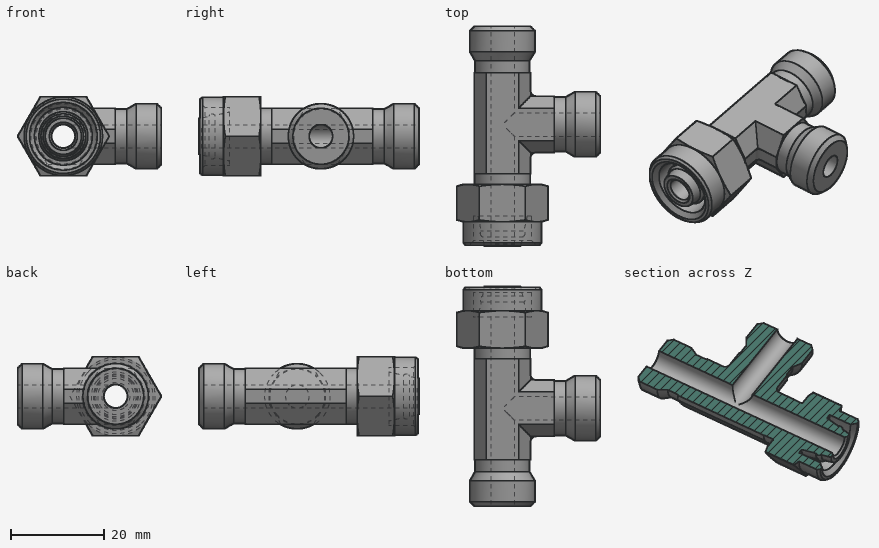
import cadquery as cq
import math


body_flats = 12.0
body_half_width = 6.06
body_far_end = 11.05
body_nut_end = 10.55
corner_fillet = 1.1

port_reach = 21.0
thread_radius = 7.0
thread_chamfer = 1.0
thread_start = 15.55
neck_radius = 5.87
runout_angle = 30.0

bore_radius = 2.5
bore_mouth_radius = 3.0

nut_flats = 17.0
nut_back = 12.85
nut_hex_end = 20.85
nut_front = 25.9
nut_collar_radius = 8.4
nut_collar_front_radius = 7.95
nut_collar_chamfer = 0.6
nut_face_radius = 8.45
nut_corner_drop = 0.4
nut_thread_radius = 6.2
nut_mouth_radius = 7.25

tail_radius = 6.0
tail_tip = 26.1
cone_tip_radius = 3.87
cone_root_radius = 5.25
cone_half_angle = 12.0
ring_section_radius = 0.8
ring_front_radius = 4.3
ring_outer_radius = 4.8

body_corner_radius = body_flats / math.sqrt(3)
cone_slope = math.tan(math.radians(cone_half_angle))
cavity_floor = tail_tip - (cone_root_radius - cone_tip_radius) / cone_slope


def revolve_along_x(points):
    """Revolve an (axial, radius) outline about the X axis."""
    return cq.Workplane("XY").polyline(points).close().revolve(360, (0, 0, 0), (1, 0, 0))


def point_to_far_end(shape):
    """Turn a shape from +X to +Y."""
    return shape.rotate((0, 0, 0), (0, 0, 1), 90)


def point_to_nut_end(shape):
    """Turn a shape from +X to -Y."""
    return shape.rotate((0, 0, 0), (0, 0, 1), -90)


def forged_bar(start, end):
    """Hexagonal bar along X with flats at top and bottom and its side corners cut off."""
    bar_profile = cq.Workplane("YZ", origin=(start, 0, 0))
    hexagon = bar_profile.polygon(6, 2 * body_corner_radius).extrude(end - start)
    side_limit = bar_profile.rect(2 * body_half_width, body_flats).extrude(end - start)
    return hexagon.intersect(side_limit)


def inner_corner_fillets():
    """Fillets between the narrow side faces of the run and the branch."""
    corner = body_half_width
    tangent = corner + corner_fillet
    arc_mid = tangent - corner_fillet * math.sqrt(0.5)
    half_height = math.sqrt(3) * (body_corner_radius - body_half_width)
    web = (
        cq.Workplane("XY", origin=(0, 0, -half_height))
        .moveTo(corner, corner)
        .lineTo(tangent, corner)
        .threePointArc((arc_mid, arc_mid), (corner, tangent))
        .close()
        .extrude(2 * half_height)
    )
    return web.union(web.mirror("XZ"))


def male_port():
    """Threaded port along +X: neck, conical thread run-out and chamfered thread."""
    runout_length = (thread_radius - neck_radius) / math.tan(math.radians(runout_angle))
    return revolve_along_x([
        (0, 0),
        (0, neck_radius),
        (thread_start - runout_length, neck_radius),
        (thread_start, thread_radius),
        (port_reach - thread_chamfer, thread_radius),
        (port_reach, thread_radius - thread_chamfer),
        (port_reach, 0),
    ])


def nut_hexagon():
    """Hexagon of the nut with its corners chamfered at both ends."""
    corner_radius = nut_flats / math.sqrt(3)
    hexagon = (
        cq.Workplane("YZ", origin=(nut_back, 0, 0))
        .polygon(6, 2 * corner_radius)
        .extrude(nut_hex_end - nut_back)
    )
    chamfer_limit = revolve_along_x([
        (nut_back, 0),
        (nut_back, nut_face_radius),
        (nut_back + nut_corner_drop, corner_radius),
        (nut_hex_end - nut_corner_drop, corner_radius),
        (nut_hex_end, nut_face_radius),
        (nut_hex_end, 0),
    ])
    return hexagon.intersect(chamfer_limit)


def swivel_nut():
    """Nut with a threaded cavity that ends where the sealing cone reaches its root."""
    collar = revolve_along_x([
        (nut_hex_end, 0),
        (nut_hex_end, nut_collar_radius),
        (nut_front - nut_collar_chamfer, nut_collar_radius),
        (nut_front, nut_collar_front_radius),
        (nut_front, 0),
    ])
    mouth_depth = nut_mouth_radius - nut_thread_radius
    cavity = revolve_along_x([
        (cavity_floor, 0),
        (cavity_floor, nut_thread_radius),
        (nut_front - mouth_depth, nut_thread_radius),
        (nut_front, nut_mouth_radius),
        (nut_front, 0),
    ])
    return nut_hexagon().union(collar).cut(cavity)


def sealing_tail():
    """Round shank, sealing cone and the O-ring that stands out of the cone."""
    shank = revolve_along_x([(0, 0), (0, tail_radius), (nut_back, tail_radius), (nut_back, 0)])
    cone = revolve_along_x([
        (nut_back, 0),
        (nut_back, cone_root_radius),
        (cavity_floor, cone_root_radius),
        (tail_tip, cone_tip_radius),
        (tail_tip, 0),
    ])
    ring_front = tail_tip - (ring_front_radius - cone_tip_radius) / cone_slope
    ring = (
        cq.Workplane("XY")
        .moveTo(ring_front - ring_section_radius, ring_outer_radius - ring_section_radius)
        .circle(ring_section_radius)
        .revolve(360, (0, 0, 0), (1, 0, 0))
    )
    return shank.union(cone).union(ring)


def bores():
    """Run bore right through, opened out at the tail tip, and a branch bore meeting it."""
    branch = cq.Workplane("YZ").circle(bore_radius).extrude(port_reach)
    run = cq.Workplane("YZ", origin=(-port_reach, 0, 0)).circle(bore_radius).extrude(port_reach + tail_tip)
    mouth_start = tail_tip - (bore_mouth_radius - bore_radius)
    mouth = revolve_along_x([
        (mouth_start, 0),
        (mouth_start, bore_radius),
        (tail_tip, bore_mouth_radius),
        (tail_tip, 0),
    ])
    return branch.union(point_to_nut_end(run.union(mouth)))


run_bar = point_to_far_end(forged_bar(-body_nut_end, body_far_end))
branch_bar = forged_bar(0, body_far_end)
body = run_bar.union(branch_bar).union(inner_corner_fillets())
ports = male_port().union(point_to_far_end(male_port()))
nut_end = point_to_nut_end(swivel_nut().union(sealing_tail()))

result = body.union(ports).union(nut_end).cut(bores())